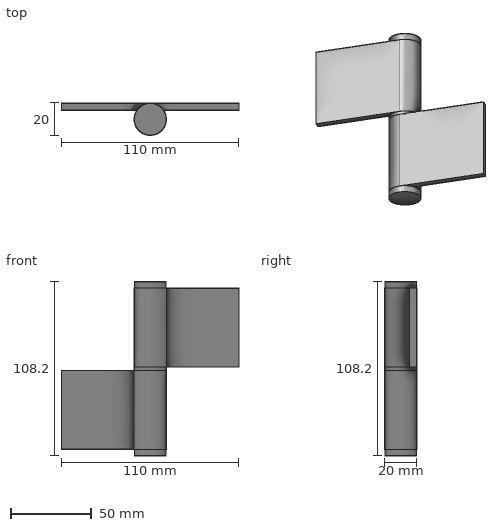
import cadquery as cq

leaf_span = 110.0
barrel_diameter = 20.0
leaf_thickness = 4.5
cap_diameter = 19.8
knuckle_height = 49.0
washer_height = 2.0
cap_height = 4.1

barrel_radius = barrel_diameter / 2
leaf_reach = leaf_span / 2
upper_knuckle_base = washer_height / 2
lower_knuckle_base = -washer_height / 2 - knuckle_height
upper_cap_base = upper_knuckle_base + knuckle_height
lower_cap_base = lower_knuckle_base - cap_height


def make_disc(base_z, height, diameter=barrel_diameter):
    """Solid round section of the barrel, standing on base_z."""
    return cq.Workplane("XY").workplane(offset=base_z).circle(diameter / 2).extrude(height)


def make_leaf(base_z, side):
    """Knuckle with a flat plate tangent to its back; side is +1 for +X or -1 for -X."""
    plate = (
        cq.Workplane("XY")
        .box(leaf_reach, leaf_thickness, knuckle_height, centered=(True, False, False))
        .translate((side * leaf_reach / 2, barrel_radius - leaf_thickness, base_z))
    )
    return make_disc(base_z, knuckle_height).union(plate)


leaves = [make_leaf(upper_knuckle_base, 1), make_leaf(lower_knuckle_base, -1)]

washer = make_disc(-washer_height / 2, washer_height)

caps = [make_disc(base_z, cap_height, cap_diameter) for base_z in (upper_cap_base, lower_cap_base)]

result = cq.Compound.makeCompound(
    [leaf.val() for leaf in leaves] + [washer.val()] + [cap.val() for cap in caps]
)